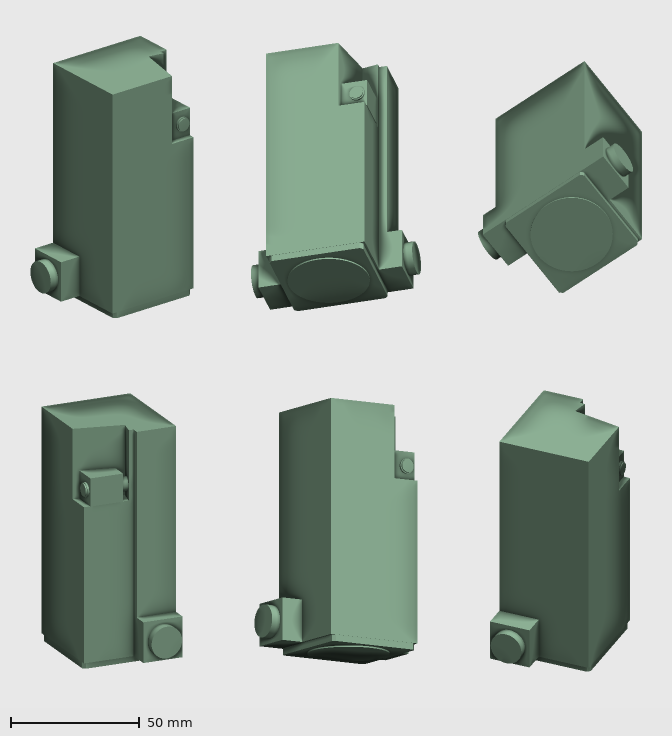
import cadquery as cq

total_height = 96.35
disc_height = 0.6
plate_height = 2.6
body_bottom = disc_height + plate_height

body_width = 38.0
body_front_y = -19.9
body_back_y = 19.75
back_strip_y = 22.8

block_size = 16.8
block_half_length = 28.9
port_diameter = 13.0
port_span = 65.0

plate_size = 37.8
plate_chamfer = 1.2
disc_diameter = 32.0

notch_depth = 28.9
notch_floor = total_height - notch_depth
notch_mouth_x = 18.8
notch_corner = (17.5, 13.3)
slant_end_y = 9.2

connector_start_x = 21.4
connector_end_x = 35.4
connector_back_y = 20.0
connector_height = 11.6
gland_diameter = 6.0
gland_y = 16.1
collar_length = 0.8
cap_diameter = 5.2
cap_length = 0.6


def box(x_range, y_range, z_range):
    """Box spanning the given (low, high) ranges."""
    size = [high - low for low, high in (x_range, y_range, z_range)]
    return cq.Workplane("XY").box(*size, centered=False).translate((x_range[0], y_range[0], z_range[0]))


def x_cylinder(diameter, start_x, end_x, y, z):
    """Cylinder along X between two X positions."""
    plane = cq.Workplane("YZ", origin=(start_x, y, z))
    return plane.circle(diameter / 2).extrude(end_x - start_x)


def slant_y(x):
    """Y of the slanted notch wall at a given X."""
    corner_x, corner_y = notch_corner
    return corner_y + (slant_end_y - corner_y) * (x - corner_x) / (body_width - corner_x)


def make_housing():
    body_z = (body_bottom, total_height)
    body = box((0, body_width), (body_front_y, body_back_y), body_z)
    back_strip = box((0, block_size), (0, back_strip_y), body_z)
    return body.union(back_strip)


def make_flow_block():
    block_z = (body_bottom, body_bottom + block_size)
    block = box((0, block_size), (-block_half_length, block_half_length), block_z)
    port_center = (block_size / 2, 0, body_bottom + block_size / 2)
    ports = (
        cq.Workplane("XZ", origin=port_center)
        .circle(port_diameter / 2)
        .extrude(port_span / 2, both=True)
    )
    return block.union(ports)


def make_base():
    center = (body_width / 2, 0)
    plate = (
        cq.Workplane("XY", origin=(*center, disc_height))
        .rect(plate_size, plate_size)
        .extrude(plate_height)
        .edges("|Z")
        .chamfer(plate_chamfer)
    )
    disc = cq.Workplane("XY", origin=(*center, 0)).circle(disc_diameter / 2).extrude(disc_height)
    return plate.union(disc)


def make_notch():
    outline = [
        (notch_mouth_x, body_back_y),
        notch_corner,
        (body_width, slant_end_y),
        (body_width, body_back_y),
    ]
    return cq.Workplane("XY", origin=(0, 0, notch_floor)).polyline(outline).close().extrude(notch_depth)


def make_connector():
    outline = [
        (connector_start_x, slant_y(connector_start_x)),
        (connector_end_x, slant_y(connector_end_x)),
        (connector_end_x, connector_back_y),
        (connector_start_x, connector_back_y),
    ]
    shell = cq.Workplane("XY", origin=(0, 0, notch_floor)).polyline(outline).close().extrude(connector_height)
    axis_z = notch_floor + connector_height / 2
    collar_end_x = connector_end_x + collar_length
    gland = x_cylinder(gland_diameter, notch_corner[0], collar_end_x, gland_y, axis_z)
    cap = x_cylinder(cap_diameter, collar_end_x, collar_end_x + cap_length, gland_y, axis_z)
    return shell.union(gland).union(cap)


result = (
    make_housing()
    .cut(make_notch())
    .union(make_flow_block())
    .union(make_base())
    .union(make_connector())
)